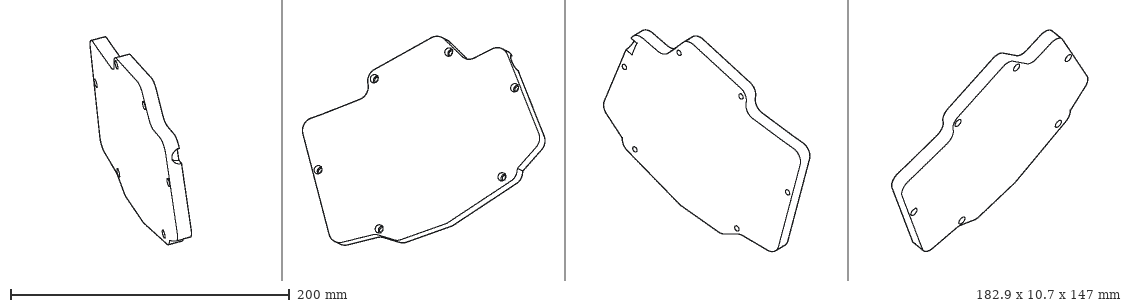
import cadquery as cq
import math

thickness = 10.7
corner_radius = 9.0

top_left = (-2.39, 91.8)
left_shoulder_bend = (15.43, 96.58)
step_bottom = (51.6, 107.48)
step_top = (48.88, 123.31)
peak = (104.69, 148.77)
notch_bottom = (126.68, 126.76)
top_right = (154.28, 138.07)
right_tip = (184.17, 64.62)
right_step_top = (165.45, 45.88)
right_step_bottom = (164.6, 39.3)
bottom_bend = (111.13, 9.7)
bottom_tip = (73.05, -0.4)
bottom_hollow = (55.8, 5.79)
bottom_left = (22.28, 0.33)

outline = [
    top_left,
    left_shoulder_bend,
    step_bottom,
    step_top,
    peak,
    notch_bottom,
    top_right,
    right_tip,
    right_step_top,
    right_step_bottom,
    bottom_bend,
    bottom_tip,
    bottom_hollow,
    bottom_left,
]

sharp_corners = [left_shoulder_bend, right_step_top]

screw_holes = [
    (54.99, 119.39),
    (112.41, 134.73),
    (163.21, 104.97),
    (11.73, 56.04),
    (153.46, 40.61),
    (58.79, 9.42),
]
screw_diameter = 4.0
counterbore_diameter = 6.0
counterbore_depth = 6.0

groove_radius = 6.0
groove_length = 6.0
groove_axis_depth = 0.5
groove_from_corner = 13.8


def make_plate():
    plate = cq.Workplane("XZ").polyline(outline).close().extrude(-thickness)
    rounded_corners = [corner for corner in outline if corner not in sharp_corners]
    for x, z in rounded_corners:
        corner_edge = cq.selectors.NearestToPointSelector((x, thickness / 2, z))
        plate = plate.edges("|Y").edges(corner_edge).fillet(corner_radius)
    return plate


def drill_screw_holes(plate):
    front = cq.Workplane("XZ").pushPoints(screw_holes)
    through_holes = front.circle(screw_diameter / 2).extrude(-thickness)
    counterbores = front.circle(counterbore_diameter / 2).extrude(-counterbore_depth)
    return plate.cut(through_holes).cut(counterbores)


def cut_edge_groove(plate):
    run = right_tip[0] - top_right[0]
    rise = right_tip[1] - top_right[1]
    edge_length = math.hypot(run, rise)
    along = (run / edge_length, rise / edge_length)
    inward = cq.Vector(along[1], 0, -along[0])
    mouth = cq.Vector(
        top_right[0] + groove_from_corner * along[0],
        thickness - groove_axis_depth,
        top_right[1] + groove_from_corner * along[1],
    )
    start = mouth - inward * groove_radius
    cutter_length = groove_length + groove_radius
    cutter = cq.Solid.makeCylinder(groove_radius, cutter_length, start, inward)
    return plate.cut(cq.Workplane(obj=cutter))


result = cut_edge_groove(drill_screw_holes(make_plate()))